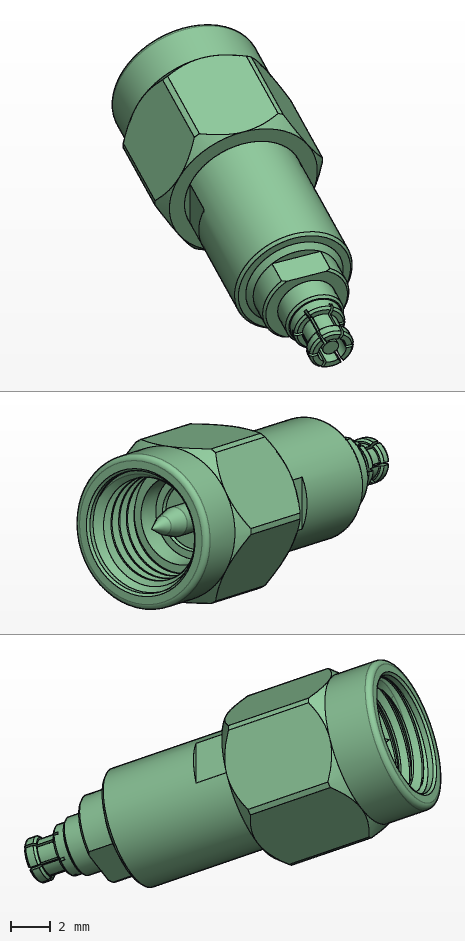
import cadquery as cq
import math


NUT_LENGTH = 8.41
ACROSS_FLATS = 7.95
CORNER_RADIUS = 4.5
HEX_TURN = 30
COLLAR_RADIUS = ACROSS_FLATS / 2
COLLAR_LENGTH = 2.57
HEX_CHAMFER_LENGTH = 0.65
RIM_FILLET = 0.3

MOUTH_CHAMFER = 0.13
RELIEF_RADIUS = 3.15
RELIEF_END = 0.42
THREAD_CREST_RADIUS = 2.68
THREAD_ROOT_RADIUS = 3.12
THREAD_PITCH = 0.706
THREAD_START_ANGLE = 220
THREAD_START_STATION = -0.1
THREAD_OVERRUN = 0.05
THREAD_FLANK_ANGLE = 30
THREAD_ROOT_FLAT = 0.08

SEAT_STATION = 3.5
BARREL_RADIUS = 3.16
BARREL_END = 15.68
BARREL_CHAMFER = 0.15
SHOULDER_RADIUS = 2.61
WRENCH_FLAT_END = 10.43
WRENCH_FLAT_OFFSET = 2.87
KEY_START = 15.95
KEY_RADIUS = 2.32
KEY_END = 17.43
KEY_FLAT_OFFSET = 1.92
EDGE_CHAMFER = 0.13
FIRST_STEP_RADIUS = 1.55
FIRST_STEP_END = 18.7
SECOND_STEP_RADIUS = 1.37
SECOND_STEP_END = 19.37

SOCKET_RADIUS = 2.28
SOCKET_TAPER = 0.06
SOCKET_DEPTH = 1.26
INSULATOR_RADIUS = 1.81
INSULATOR_RECESS_DEPTH = 0.21
PIN_RADIUS = 0.75
PIN_TIP_STATION = 1.0
PIN_TIP_RADIUS = 0.48
PIN_TIP_LENGTH = 1.05
PIN_TAPER_LENGTH = 1.05

TOTAL_LENGTH = 21.08
NECK_RADIUS = 0.97
BEAD_START = 20.4
BEAD_RADIUS = 1.18
PLUG_BORE_RADIUS = 0.75
PLUG_BORE_START = 18.75
SLOT_WIDTH = 0.15
SLOT_START = 19.04
SLOT_PAIRS = 3
CORE_RADIUS = 0.42
CORE_END = 20.85


def revolved(points):
    """Solid of revolution about the X axis from (station, radius) points."""
    return cq.Workplane("XZ").polyline(points).close().revolve(360, (0, 0, 0), (1, 0, 0))


def cylinder(start, end, radius):
    return cq.Workplane("YZ", origin=(start, 0, 0)).circle(radius).extrude(end - start)


def block(start, end, y_min, y_max, z_min, z_max):
    size = (end - start, y_max - y_min, z_max - z_min)
    return cq.Workplane("XY", origin=(start, y_min, z_min)).box(*size, centered=False)


def make_nut_blank():
    """Round collar with a filleted rim, then a hexagon with its corners turned down at both ends."""
    collar = cylinder(0, COLLAR_LENGTH, COLLAR_RADIUS).faces("<X").edges().fillet(RIM_FILLET)
    hexagon = (
        cq.Workplane("YZ", origin=(COLLAR_LENGTH, 0, 0))
        .polygon(6, ACROSS_FLATS, circumscribed=True)
        .extrude(NUT_LENGTH - COLLAR_LENGTH)
        .rotate((0, 0, 0), (1, 0, 0), HEX_TURN)
    )
    turned_limit = revolved([
        (COLLAR_LENGTH, 0),
        (COLLAR_LENGTH, COLLAR_RADIUS),
        (COLLAR_LENGTH + HEX_CHAMFER_LENGTH, CORNER_RADIUS),
        (NUT_LENGTH - HEX_CHAMFER_LENGTH, CORNER_RADIUS),
        (NUT_LENGTH, COLLAR_RADIUS),
        (NUT_LENGTH, 0),
    ])
    return collar.union(hexagon.intersect(turned_limit))


def make_mouth():
    """Chamfered entry, plain relief bore and a 45 degree lead-in down to the thread crests."""
    lead_in_end = RELIEF_END + RELIEF_RADIUS - THREAD_CREST_RADIUS
    return revolved([
        (0, 0),
        (0, RELIEF_RADIUS + MOUTH_CHAMFER),
        (MOUTH_CHAMFER, RELIEF_RADIUS),
        (RELIEF_END, RELIEF_RADIUS),
        (lead_in_end, THREAD_CREST_RADIUS),
        (lead_in_end, 0),
    ])


def make_thread_cutter():
    """Helical vee that cuts the right-hand thread; it starts ahead of the nut and runs past the seat."""
    inner_radius = THREAD_CREST_RADIUS - THREAD_OVERRUN
    root_half = THREAD_ROOT_FLAT / 2
    flank_run = (THREAD_ROOT_RADIUS - inner_radius) * math.tan(math.radians(THREAD_FLANK_ANGLE))
    mouth_half = root_half + flank_run
    helix = cq.Wire.makeHelix(THREAD_PITCH, SEAT_STATION + 2 * THREAD_PITCH, THREAD_ROOT_RADIUS)
    cutter = (
        cq.Workplane("XZ")
        .polyline([
            (inner_radius, -mouth_half),
            (THREAD_ROOT_RADIUS, -root_half),
            (THREAD_ROOT_RADIUS, root_half),
            (inner_radius, mouth_half),
        ])
        .close()
        .sweep(cq.Workplane(obj=helix), isFrenet=True)
    )
    return (
        cutter.rotate((0, 0, 0), (0, 1, 0), 90)
        .rotate((0, 0, 0), (1, 0, 0), THREAD_START_ANGLE)
        .translate((THREAD_START_STATION, 0, 0))
    )


def make_nut():
    """Nut bored to the thread crests, threaded, then opened at the mouth and at the housing's seat."""
    threaded = make_nut_blank().cut(cylinder(0, NUT_LENGTH, THREAD_CREST_RADIUS)).cut(make_thread_cutter())
    return threaded.cut(make_mouth()).cut(cylinder(SEAT_STATION, NUT_LENGTH, BARREL_RADIUS))


def make_turned_outside():
    """Turned outside of the housing, from the seat in the nut to the bead at the end of the neck."""
    bead_edge = BEAD_RADIUS - EDGE_CHAMFER
    return revolved([
        (SEAT_STATION, 0),
        (SEAT_STATION, BARREL_RADIUS),
        (BARREL_END - BARREL_CHAMFER, BARREL_RADIUS),
        (BARREL_END, BARREL_RADIUS - BARREL_CHAMFER),
        (BARREL_END, SHOULDER_RADIUS),
        (KEY_START, KEY_RADIUS),
        (KEY_END - EDGE_CHAMFER, KEY_RADIUS),
        (KEY_END, KEY_RADIUS - EDGE_CHAMFER),
        (KEY_END, FIRST_STEP_RADIUS),
        (FIRST_STEP_END - EDGE_CHAMFER, FIRST_STEP_RADIUS),
        (FIRST_STEP_END, FIRST_STEP_RADIUS - EDGE_CHAMFER),
        (FIRST_STEP_END, SECOND_STEP_RADIUS),
        (SECOND_STEP_END - EDGE_CHAMFER, SECOND_STEP_RADIUS),
        (SECOND_STEP_END, SECOND_STEP_RADIUS - EDGE_CHAMFER),
        (SECOND_STEP_END, NECK_RADIUS),
        (BEAD_START, NECK_RADIUS),
        (BEAD_START, bead_edge),
        (BEAD_START + EDGE_CHAMFER, BEAD_RADIUS),
        (TOTAL_LENGTH - EDGE_CHAMFER, BEAD_RADIUS),
        (TOTAL_LENGTH, bead_edge),
        (TOTAL_LENGTH, 0),
    ])


def cut_flats(housing):
    """Two wrench flats facing +Y and -Y behind the nut, and two flats facing +Z and -Z on the key."""
    reach = BARREL_RADIUS
    for side in (0, 180):
        wrench_flat = block(NUT_LENGTH, WRENCH_FLAT_END, WRENCH_FLAT_OFFSET, reach, -reach, reach)
        key_flat = block(KEY_START, KEY_END, -reach, reach, KEY_FLAT_OFFSET, reach)
        for cutter in (wrench_flat, key_flat):
            housing = housing.cut(cutter.rotate((0, 0, 0), (1, 0, 0), side))
    return housing


def make_socket():
    """Recess in the front of the housing, in two steps that narrow slightly toward their floors."""
    socket_floor = SEAT_STATION + SOCKET_DEPTH
    recess_floor = socket_floor + INSULATOR_RECESS_DEPTH
    return revolved([
        (SEAT_STATION, 0),
        (SEAT_STATION, SOCKET_RADIUS),
        (socket_floor, SOCKET_RADIUS - SOCKET_TAPER),
        (socket_floor, INSULATOR_RADIUS),
        (recess_floor, INSULATOR_RADIUS - SOCKET_TAPER),
        (recess_floor, 0),
    ])


def make_pin():
    """Contact pin: a pointed tip, a slimmer taper and a round shank reaching the socket's deepest floor."""
    tip_end = PIN_TIP_STATION + PIN_TIP_LENGTH
    taper_end = tip_end + PIN_TAPER_LENGTH
    shank_end = SEAT_STATION + SOCKET_DEPTH + INSULATOR_RECESS_DEPTH
    return revolved([
        (PIN_TIP_STATION, 0),
        (tip_end, PIN_TIP_RADIUS),
        (taper_end, PIN_RADIUS),
        (shank_end, PIN_RADIUS),
        (shank_end, 0),
    ])


def make_slots():
    """Full-width slots crossing at the axis, the first one opening toward -Y and +Y."""
    reach = SECOND_STEP_RADIUS
    slot = block(SLOT_START, TOTAL_LENGTH, -reach, reach, -SLOT_WIDTH / 2, SLOT_WIDTH / 2)
    slots = slot
    for index in range(1, SLOT_PAIRS):
        slots = slots.union(slot.rotate((0, 0, 0), (1, 0, 0), index * 180 / SLOT_PAIRS))
    return slots


def make_housing():
    bore = cylinder(PLUG_BORE_START, TOTAL_LENGTH, PLUG_BORE_RADIUS)
    core = cylinder(PLUG_BORE_START, CORE_END, CORE_RADIUS)
    housing = cut_flats(make_turned_outside()).cut(make_socket()).union(make_pin())
    return housing.cut(bore).cut(make_slots()).union(core)


nut = make_nut()
housing = make_housing()
result = cq.Compound.makeCompound([nut.val(), housing.val()])